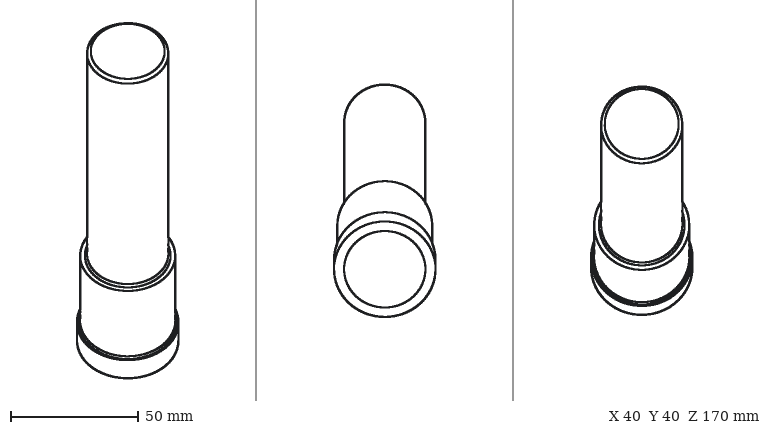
import cadquery as cq

total_height = 170.0
pin_diameter = 32.0
pin_tip_diameter = 29.0
pin_tip_height = 1.2
barrel_diameter = 37.4
barrel_top = 50.0
lip_width = 0.8
lip_height = 1.0
collar_diameter = 40.0
collar_height = 10.7
neck_width = 0.7
neck_height = 0.8

pin_radius = pin_diameter / 2
pin_tip_radius = pin_tip_diameter / 2
barrel_radius = barrel_diameter / 2
collar_radius = collar_diameter / 2


def make_pin():
    """Straight round pin with a bevelled upper end."""
    profile = (
        cq.Workplane("XZ")
        .lineTo(pin_radius, 0)
        .lineTo(pin_radius, total_height - pin_tip_height)
        .lineTo(pin_tip_radius, total_height)
        .lineTo(0, total_height)
        .close()
    )
    return profile.revolve(360, (0, 0, 0), (0, 1, 0))


def make_cone(bottom_radius, top_radius, bottom, height):
    """Short cone used where a narrower step widens into its shoulder."""
    cone = cq.Solid.makeCone(bottom_radius, top_radius, height, pnt=cq.Vector(0, 0, bottom))
    return cq.Workplane("XY").add(cone)


def make_sleeve():
    """Collared sleeve whose top tapers in to meet the pin passing through it."""
    barrel = cq.Workplane("XY").circle(barrel_radius).extrude(barrel_top)
    collar = cq.Workplane("XY").circle(collar_radius).extrude(collar_height)
    neck = make_cone(barrel_radius + neck_width, barrel_radius, collar_height, neck_height)
    lip = make_cone(pin_radius + lip_width, pin_radius, barrel_top, lip_height)
    bore = cq.Workplane("XY").circle(pin_radius).extrude(barrel_top + lip_height)
    return collar.union(barrel).union(neck).union(lip).cut(bore)


pin = make_pin()
sleeve = make_sleeve()

result = cq.Compound.makeCompound([pin.val(), *sleeve.solids().vals()])